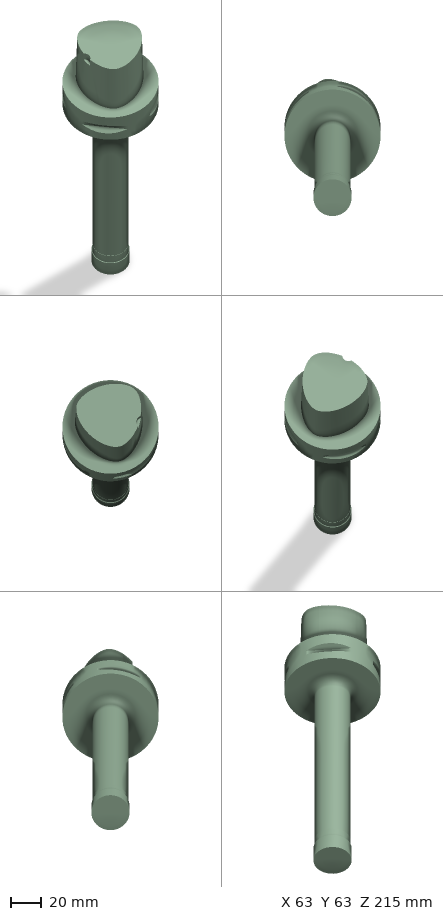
import cadquery as cq
import math

shank_height = 38.0
flange_height = 22.0
overall_height = 215.0
head_height = 11.2
collar_height = 6.5

flange_bottom = -flange_height
tool_bottom = shank_height - overall_height
head_top = tool_bottom + head_height
collar_top = head_top + collar_height

flange_diameter = 63.0
neck_diameter = 23.5
collar_diameter = 23.87
head_diameter = 25.0
neck_fillet = 5.0

shank_mean_diameter = 44.4
shank_eccentricity = 1.6
shank_taper_ratio = 20.0
lobe_count = 3
flank_half_angle = 22.5
points_per_face = 7

key_groove_radius = 4.0
key_groove_length = 5.7
key_groove_depth = 2.0

gripper_count = 4
gripper_first_angle = 45.0
gripper_floor_distance = 27.8
gripper_floor_width = 3.3
gripper_mouth_width = 7.6
gripper_below_face = 12.0


def lobed_point(normal_angle, mean_diameter):
    """Point of the constant-width lobed curve whose outward normal has the given angle."""
    turn = math.radians(normal_angle)
    phase = lobe_count * (turn - math.pi / 2)
    support = mean_diameter / 2 + shank_eccentricity * math.cos(phase)
    slope = -lobe_count * shank_eccentricity * math.sin(phase)
    x = support * math.cos(turn) - slope * math.sin(turn)
    y = support * math.sin(turn) + slope * math.cos(turn)
    return x, y


def lobed_wire(mean_diameter, height):
    """Closed outline with one spline for each flank and each lobe."""
    pitch = 360 / lobe_count
    edges = []
    for index in range(lobe_count):
        flank_centre = -90 + index * pitch
        flank_start = flank_centre - flank_half_angle
        flank_end = flank_centre + flank_half_angle
        for start, end in ((flank_start, flank_end), (flank_end, flank_start + pitch)):
            step = (end - start) / (points_per_face - 1)
            points = [
                cq.Vector(*lobed_point(start + k * step, mean_diameter), height)
                for k in range(points_per_face)
            ]
            tangents = [
                cq.Vector(-math.sin(math.radians(angle)), math.cos(math.radians(angle)), 0)
                for angle in (start, end)
            ]
            edges.append(cq.Edge.makeSpline(points, tangents=tangents))
    return cq.Wire.assembleEdges(edges)


def make_shank():
    top_diameter = shank_mean_diameter - shank_height / shank_taper_ratio
    base = lobed_wire(shank_mean_diameter, 0)
    top = lobed_wire(top_diameter, shank_height)
    shank = cq.Workplane(obj=cq.Solid.makeLoft([base, top], True))

    flank_y = lobed_point(-90, top_diameter)[1]
    key_groove = (
        cq.Workplane("XY", origin=(0, flank_y + key_groove_depth - key_groove_radius, shank_height))
        .circle(key_groove_radius)
        .extrude(-key_groove_length)
    )
    return shank.cut(key_groove)


def make_turned_body():
    """Flange, neck and collar revolved about Z."""
    flange_radius = flange_diameter / 2
    neck_radius = neck_diameter / 2
    collar_radius = collar_diameter / 2
    fillet_centre_x = neck_radius + neck_fillet
    fillet_centre_z = flange_bottom - neck_fillet
    fillet_middle = (
        fillet_centre_x - neck_fillet * math.sqrt(0.5),
        fillet_centre_z + neck_fillet * math.sqrt(0.5),
    )
    return (
        cq.Workplane("XZ")
        .moveTo(0, 0)
        .lineTo(flange_radius, 0)
        .lineTo(flange_radius, flange_bottom)
        .lineTo(fillet_centre_x, flange_bottom)
        .threePointArc(fillet_middle, (neck_radius, fillet_centre_z))
        .lineTo(neck_radius, collar_top)
        .lineTo(collar_radius, collar_top)
        .lineTo(collar_radius, head_top)
        .lineTo(0, head_top)
        .close()
        .revolve(360, (0, 0), (0, 1))
    )


def make_gripper_groove(angle):
    """Straight groove with sloping sides, cut as a chord across the flange rim."""
    rim = flange_diameter / 2
    return (
        cq.Workplane("XZ")
        .moveTo(gripper_floor_distance, -gripper_floor_width / 2)
        .lineTo(rim, -gripper_mouth_width / 2)
        .lineTo(rim, gripper_mouth_width / 2)
        .lineTo(gripper_floor_distance, gripper_floor_width / 2)
        .close()
        .extrude(rim, both=True)
        .translate((0, 0, -gripper_below_face))
        .rotate((0, 0, 0), (0, 0, 1), angle)
    )


def make_holder():
    holder = make_turned_body()
    for index in range(gripper_count):
        angle = gripper_first_angle + index * 360 / gripper_count
        holder = holder.cut(make_gripper_groove(angle))
    return holder.union(make_shank())


def make_cutting_head():
    return cq.Workplane("XY", origin=(0, 0, tool_bottom)).circle(head_diameter / 2).extrude(head_height)


holder = make_holder()
cutting_head = make_cutting_head()

result = cq.Compound.makeCompound([holder.val(), cutting_head.val()])